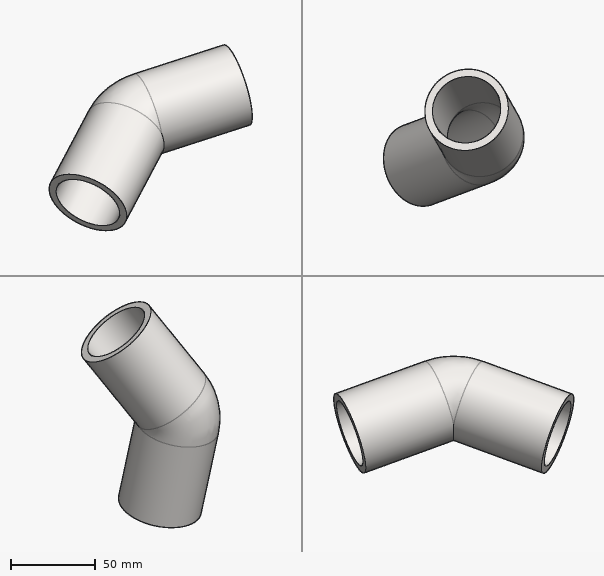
import cadquery as cq
import math

overall_length = 131.2
outer_diameter = 50.0
bore_diameter = 40.8
bend_radius = 23.0
bend_angle = 45.0

outer_radius = outer_diameter / 2
bore_radius = bore_diameter / 2
angle = math.radians(bend_angle)
bend_and_rim_reach = (bend_radius + outer_radius) * math.sin(angle)
leg_length = (overall_length - bend_and_rim_reach) / (1 + math.cos(angle))

axis_x = bend_radius
axis_y = leg_length


def bend(radius):
    """Round section swept about the bend axis, trimmed where it crosses that axis."""
    section_plane = cq.Plane(origin=(0, axis_y, 0), xDir=(1, 0, 0), normal=(0, -1, 0))
    section = cq.Workplane(section_plane)
    if radius < bend_radius:
        section = section.circle(radius)
    else:
        half_chord = math.sqrt(radius**2 - bend_radius**2)
        section = (
            section.moveTo(axis_x, half_chord)
            .threePointArc((-radius, 0), (axis_x, -half_chord))
            .close()
        )
    return section.revolve(bend_angle, (axis_x, 1.3, 0), (axis_x, -1.3, 0))


def elbow(radius):
    """Solid elbow: a straight leg along Y, the bend and the turned leg."""
    straight_plane = cq.Plane(origin=(0, 0, 0), xDir=(1, 0, 0), normal=(0, 1, 0))
    turned_plane = cq.Plane(
        origin=(
            axis_x - bend_radius * math.cos(angle),
            axis_y + bend_radius * math.sin(angle),
            0,
        ),
        xDir=(0, 0, 1),
        normal=(math.sin(angle), math.cos(angle), 0),
    )
    straight_leg = cq.Workplane(straight_plane).circle(radius).extrude(leg_length)
    turned_leg = cq.Workplane(turned_plane).circle(radius).extrude(leg_length)
    return straight_leg.union(bend(radius)).union(turned_leg)


result = elbow(outer_radius).cut(elbow(bore_radius))